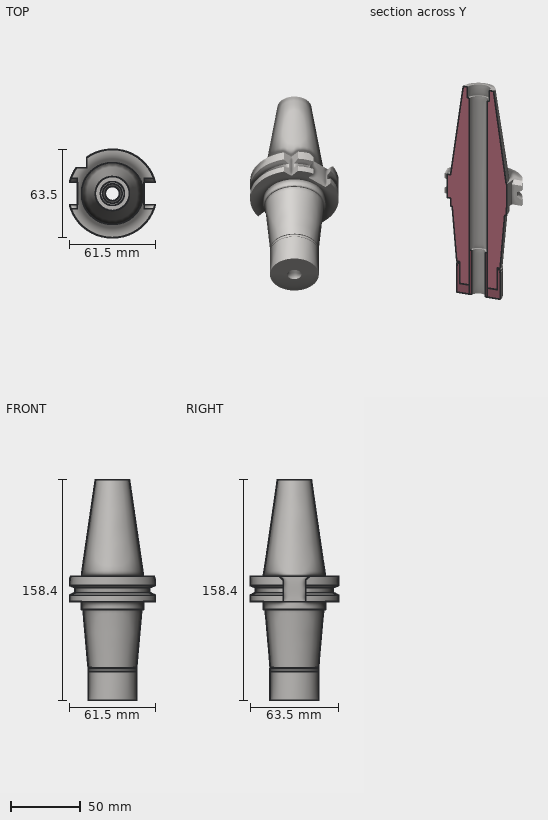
import cadquery as cq

OVERALL_HEIGHT = 158.4

NUT_DIAMETER = 35.0
NUT_RADIUS = NUT_DIAMETER / 2
NUT_HEIGHT = 22.8
NUT_GROOVE_Z = 20.6
NUT_GROOVE_WIDTH = 0.5
NUT_GROOVE_DEPTH = 0.3
NUT_FLOOR = 7.0

GAP = 0.8
SPIGOT_RADIUS = 15.0

CONE_BOTTOM_RADIUS = 17.5
CONE_TOP_RADIUS = 21.0
COLLAR_RADIUS = 22.3
COLLAR_BOTTOM_Z = 65.4
COLLAR_CHAMFER = 0.5

FLANGE_DIAMETER = 63.5
FLANGE_RADIUS = FLANGE_DIAMETER / 2
FLANGE_BOTTOM_Z = 71.0
FLANGE_TOP_Z = 89.2
GROOVE_RADIUS = 28.0
GROOVE_BOTTOM_Z = 75.4
GROOVE_FLOOR_BOTTOM_Z = 77.3
GROOVE_FLOOR_TOP_Z = 81.0
GROOVE_TOP_Z = 82.5

SLOT_WIDTH = 16.0
SLOT_CHAMFER = 2.9
LEFT_SLOT_FLOOR = 25.0
RIGHT_SLOT_FLOOR = 22.8
NOTCH_CORNER = 18.5

GAUGE_Z = 90.1
GAUGE_RADIUS = 22.2
TAPER_RATIO = 7 / 24
TAPER_TOP_RADIUS = GAUGE_RADIUS - (OVERALL_HEIGHT - GAUGE_Z) * TAPER_RATIO / 2

COUNTERBORE_RADIUS = 8.5
COUNTERBORE_DEPTH = 8.2
BORE_RADIUS = 7.0

COLLET_BORE_RADIUS = 5.0
COLLET_LENGTH = 34.0

HOLDER_BOTTOM_Z = NUT_HEIGHT + GAP
FLANGE_HEIGHT = FLANGE_TOP_Z - FLANGE_BOTTOM_Z


def revolved(profile):
    """Turn a closed (radius, z) profile about the Z axis."""
    return cq.Workplane("XZ").polyline(profile).close().revolve(360, (0, 0, 0), (0, 1, 0))


def cylinder(radius, bottom_z, top_z):
    """Solid cylinder on the Z axis."""
    return cq.Workplane("XY").workplane(offset=bottom_z).circle(radius).extrude(top_z - bottom_z)


def drive_slot(floor_distance, side):
    """Cutter for one chamfered drive slot; side is -1 for -X and +1 for +X."""
    half_width = SLOT_WIDTH / 2
    profile = [
        (-half_width, FLANGE_BOTTOM_Z),
        (half_width, FLANGE_BOTTOM_Z),
        (half_width, FLANGE_TOP_Z - SLOT_CHAMFER),
        (half_width + SLOT_CHAMFER, FLANGE_TOP_Z),
        (-half_width - SLOT_CHAMFER, FLANGE_TOP_Z),
        (-half_width, FLANGE_TOP_Z - SLOT_CHAMFER),
    ]
    start = cq.Workplane("YZ").workplane(offset=side * floor_distance)
    return start.polyline(profile).close().extrude(side * FLANGE_RADIUS)


def orientation_notch():
    """Cutter for the square corner notch at -X, +Y."""
    return cq.Workplane("XY").box(
        FLANGE_RADIUS, FLANGE_RADIUS, FLANGE_HEIGHT, centered=False
    ).translate((-NOTCH_CORNER - FLANGE_RADIUS, NOTCH_CORNER, FLANGE_BOTTOM_Z))


def make_holder():
    """Taper shank, flange, cone and nose spigot in one piece, bored through."""
    blank = revolved([
        (0, NUT_FLOOR),
        (SPIGOT_RADIUS, NUT_FLOOR),
        (SPIGOT_RADIUS, HOLDER_BOTTOM_Z),
        (CONE_BOTTOM_RADIUS, HOLDER_BOTTOM_Z),
        (CONE_TOP_RADIUS, COLLAR_BOTTOM_Z - COLLAR_CHAMFER),
        (COLLAR_RADIUS - COLLAR_CHAMFER, COLLAR_BOTTOM_Z - COLLAR_CHAMFER),
        (COLLAR_RADIUS, COLLAR_BOTTOM_Z),
        (COLLAR_RADIUS, FLANGE_BOTTOM_Z),
        (FLANGE_RADIUS, FLANGE_BOTTOM_Z),
        (FLANGE_RADIUS, GROOVE_BOTTOM_Z),
        (GROOVE_RADIUS, GROOVE_FLOOR_BOTTOM_Z),
        (GROOVE_RADIUS, GROOVE_FLOOR_TOP_Z),
        (FLANGE_RADIUS, GROOVE_TOP_Z),
        (FLANGE_RADIUS, FLANGE_TOP_Z),
        (GAUGE_RADIUS, FLANGE_TOP_Z),
        (GAUGE_RADIUS, GAUGE_Z),
        (TAPER_TOP_RADIUS, OVERALL_HEIGHT),
        (0, OVERALL_HEIGHT),
    ])
    bore = cylinder(BORE_RADIUS, NUT_FLOOR, OVERALL_HEIGHT)
    counterbore = cylinder(COUNTERBORE_RADIUS, OVERALL_HEIGHT - COUNTERBORE_DEPTH, OVERALL_HEIGHT)
    return (
        blank.cut(bore)
        .cut(counterbore)
        .cut(drive_slot(LEFT_SLOT_FLOOR, -1))
        .cut(drive_slot(RIGHT_SLOT_FLOOR, 1))
        .cut(orientation_notch())
    )


def make_nut():
    """Clamping nut with a recess for the spigot and a fine groove around it."""
    groove_radius = NUT_RADIUS - NUT_GROOVE_DEPTH
    return revolved([
        (BORE_RADIUS, 0),
        (NUT_RADIUS, 0),
        (NUT_RADIUS, NUT_GROOVE_Z),
        (groove_radius, NUT_GROOVE_Z),
        (groove_radius, NUT_GROOVE_Z + NUT_GROOVE_WIDTH),
        (NUT_RADIUS, NUT_GROOVE_Z + NUT_GROOVE_WIDTH),
        (NUT_RADIUS, NUT_HEIGHT),
        (SPIGOT_RADIUS, NUT_HEIGHT),
        (SPIGOT_RADIUS, NUT_FLOOR),
        (BORE_RADIUS, NUT_FLOOR),
    ])


def make_collet():
    """Plain sleeve that fills the bore at the nose."""
    return cylinder(BORE_RADIUS, 0, COLLET_LENGTH).cut(cylinder(COLLET_BORE_RADIUS, 0, COLLET_LENGTH))


holder = make_holder()
nut = make_nut()
collet = make_collet()

result = cq.Compound.makeCompound([holder.val(), nut.val(), collet.val()])